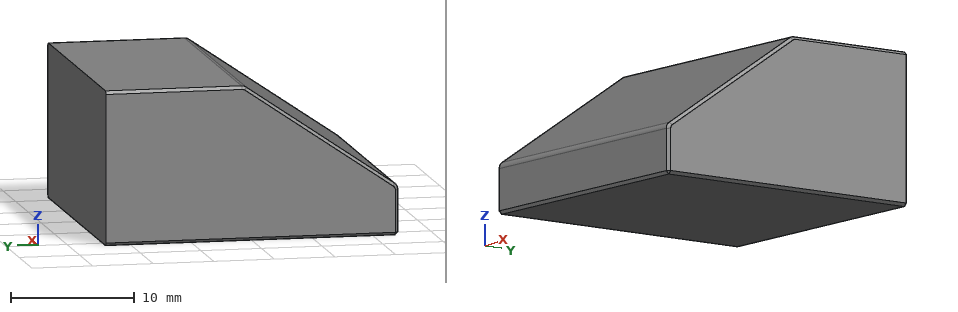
import cadquery as cq

width = 22.86
depth = 24.13
height = 12.7

top_depth = 11.43
front_height = 4.064

ridge_radius = 0.635
edge_chamfer = 0.254

front_y = -depth / 2
back_y = depth / 2
slope_top_y = back_y - top_depth


def wedge_block():
    """Block with a sloped front, extruded across the full width."""
    profile = [
        (front_y, 0),
        (back_y, 0),
        (back_y, height),
        (slope_top_y, height),
        (front_y, front_height),
    ]
    return cq.Workplane("YZ").polyline(profile).close().extrude(width / 2, both=True)


def round_ridges(body):
    """Round the two ridges at the upper and lower ends of the slope."""
    for ridge in ((0, slope_top_y, height), (0, front_y, front_height)):
        body = body.edges(cq.selectors.NearestToPointSelector(ridge)).fillet(ridge_radius)
    return body


def bevel_outline(body):
    """Bevel both side outlines and the bottom front edge; the back face stays sharp."""
    side_edges = body.faces("<X or >X").edges("not(>Y)")
    bottom_front_edge = body.faces("<Z").edges("<Y")
    return body.newObject(side_edges.vals() + bottom_front_edge.vals()).chamfer(edge_chamfer)


result = bevel_outline(round_ridges(wedge_block()))